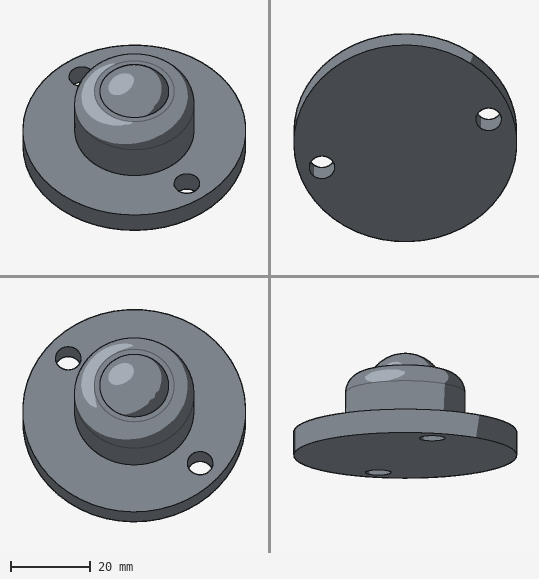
import cadquery as cq

flange_diameter = 56.0
flange_thickness = 6.0
hole_diameter = 6.4
hole_offset = 22.0

cup_diameter = 30.0
cup_top = 21.0
rim_radius = 5.0

total_height = 26.0
ball_diameter = 20.0
ball_radius = ball_diameter / 2
ball_center_height = total_height - ball_radius


def make_ball():
    """Full sphere whose top is the highest point of the part."""
    return cq.Workplane("XY").sphere(ball_radius).translate((0, 0, ball_center_height))


def make_flange():
    """Round plate with two through holes."""
    plate = cq.Workplane("XY").circle(flange_diameter / 2).extrude(flange_thickness)
    hole_centers = [(-hole_offset, 0), (hole_offset, 0)]
    return plate.faces(">Z").workplane().pushPoints(hole_centers).hole(hole_diameter)


def make_cup():
    """Solid cylinder with a rounded top rim."""
    cylinder = cq.Workplane("XY").circle(cup_diameter / 2).extrude(cup_top)
    return cylinder.faces(">Z").edges().fillet(rim_radius)


def make_housing():
    """Flange and cup in one piece, with a spherical seat that matches the ball."""
    return make_flange().union(make_cup()).cut(make_ball())


housing = make_housing()
ball = make_ball()

result = cq.Compound.makeCompound([housing.val(), ball.val()])